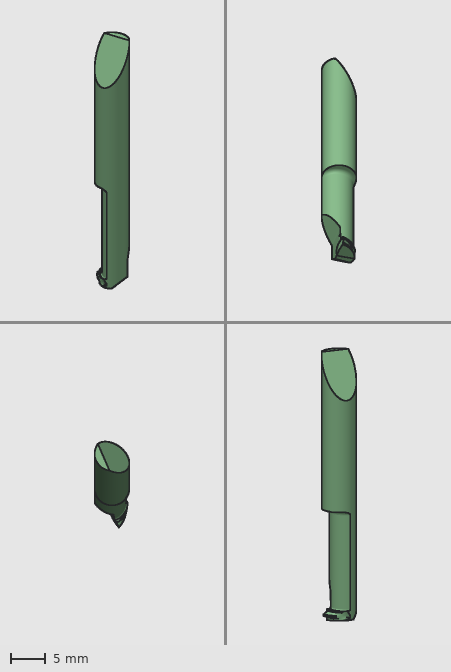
import cadquery as cq
import math

LENGTH = 39.5
RADIUS = 2.51
SLANT_ANGLE = 60.0
TOP_FLAT_EDGE = 1.3

NECK_OFFSET = 1.22
SHOULDER_HEIGHT = 16.4
SHOULDER_FILLET = 0.6

RAKE_Y = 0.25
RAKE_TOP = 4.4
RAKE_BLEND = 1.2
GROOVE_TOP = 2.95
GROOVE_EDGE_X = -0.8
CHAMFER = 1.5
END_RISE = 0.28
INSERT_TOP = 1.65
COVE_RADIUS = 0.25
ARC_BULGE = 0.47

PROFILE = [
    (0.0, -1.95, 0.35),
    (0.47, -1.95, 0.35),
    (0.7, -RADIUS, 0.6),
    (0.95, -RADIUS, 0.6),
    (1.4, -1.78, 0.3),
    (1.55, -1.95, 0.25),
    (INSERT_TOP, -1.95, 0.25),
]

SLOPE = math.tan(math.radians(SLANT_ANGLE))
OVERSIZE = 2 * RADIUS
END_MARGIN = 0.4


def prism_along_x(points):
    """Extrude a (Y, Z) outline right across the bar."""
    return cq.Workplane("YZ").polyline(points).close().extrude(OVERSIZE, both=True)


def slanted_end_cutter():
    reach = TOP_FLAT_EDGE + OVERSIZE
    return prism_along_x([
        (TOP_FLAT_EDGE, LENGTH),
        (TOP_FLAT_EDGE - reach, LENGTH - reach * SLOPE),
        (TOP_FLAT_EDGE - reach, LENGTH),
    ])


def neck_cutter():
    """Everything beside the neck, with a coved shoulder and a coved foot."""
    shoulder_start = SHOULDER_HEIGHT - SHOULDER_FILLET
    cove_top = INSERT_TOP + COVE_RADIUS
    diagonal = math.sqrt(0.5)
    profile = (
        cq.Workplane("XZ")
        .moveTo(RADIUS, cove_top)
        .lineTo(RADIUS, shoulder_start)
        .threePointArc(
            (RADIUS + SHOULDER_FILLET * (1 - diagonal), shoulder_start + SHOULDER_FILLET * diagonal),
            (RADIUS + SHOULDER_FILLET, SHOULDER_HEIGHT),
        )
        .lineTo(OVERSIZE, SHOULDER_HEIGHT)
        .lineTo(OVERSIZE, INSERT_TOP)
        .lineTo(RADIUS + COVE_RADIUS, INSERT_TOP)
        .threePointArc(
            (RADIUS + COVE_RADIUS * (1 - diagonal), cove_top - COVE_RADIUS * diagonal),
            (RADIUS, cove_top),
        )
        .close()
    )
    return profile.revolve(360, (0, 0, 0), (0, 1, 0)).translate((NECK_OFFSET, 0, 0))


def insert_seat_cutter():
    """Clears the bar up to the stepped back wall that carries the insert."""
    back_wall = [(back_x, height) for height, _, back_x in PROFILE]
    return (
        cq.Workplane("XZ")
        .polyline([(-OVERSIZE, 0), *back_wall, (-OVERSIZE, INSERT_TOP)])
        .close()
        .extrude(OVERSIZE, both=True)
    )


def rake_cutter():
    """Half-bar removal: a flat, blended into a slanted run-out."""
    slant_top = (OVERSIZE, RAKE_TOP + (OVERSIZE - RAKE_Y) * SLOPE)
    outline = [(RAKE_Y, -END_MARGIN), (RAKE_Y, RAKE_TOP), slant_top, (OVERSIZE, -END_MARGIN)]
    corner = cq.selectors.NearestToPointSelector((0, RAKE_Y, RAKE_TOP))
    return prism_along_x(outline).edges(corner).fillet(RAKE_BLEND)


def chip_face_cutter():
    """Chip face falling from the flat to Y = 0 at the tooth tip."""
    return (
        cq.Workplane("XY")
        .polyline([(-RADIUS, 0), (GROOVE_EDGE_X, RAKE_Y), (-RADIUS, RAKE_Y)])
        .close()
        .extrude(GROOVE_TOP)
    )


def end_clearance_cutter():
    slope = END_RISE / (RADIUS + RAKE_Y)
    return prism_along_x([
        (RAKE_Y, 0),
        (-OVERSIZE, slope * (OVERSIZE + RAKE_Y)),
        (-OVERSIZE, -END_MARGIN),
        (RAKE_Y, -END_MARGIN),
    ])


def chamfer_cutter():
    return (
        cq.Workplane("XZ")
        .polyline([(RADIUS - CHAMFER, 0), (RADIUS, CHAMFER), (RADIUS, 0)])
        .close()
        .extrude(OVERSIZE, both=True)
    )


def insert_section(height, edge_x, back_x):
    """Closed section: rake edge, curved flank, straight back wall."""
    back_y = -math.sqrt(RADIUS**2 - back_x**2)
    run_x = back_x - edge_x
    run_y = back_y
    chord = math.hypot(run_x, run_y)
    middle = (
        edge_x + run_x / 2 + ARC_BULGE * run_y / chord,
        run_y / 2 - ARC_BULGE * run_x / chord,
    )
    wire = (
        cq.Workplane("XY")
        .moveTo(edge_x, RAKE_Y)
        .lineTo(edge_x, 0)
        .threePointArc(middle, (back_x, back_y))
        .lineTo(back_x, RAKE_Y)
        .close()
        .val()
    )
    return wire.translate(cq.Vector(0, 0, height))


def make_insert():
    sections = [insert_section(*row) for row in PROFILE]
    body = cq.Workplane(cq.Solid.makeLoft(sections, True))
    bar = cq.Workplane("XY").circle(RADIUS).extrude(LENGTH)
    return body.intersect(bar).cut(chip_face_cutter()).cut(end_clearance_cutter())


def make_shank(insert):
    return (
        cq.Workplane("XY").circle(RADIUS).extrude(LENGTH)
        .cut(slanted_end_cutter())
        .cut(neck_cutter())
        .cut(insert_seat_cutter())
        .cut(rake_cutter())
        .cut(chip_face_cutter())
        .cut(end_clearance_cutter())
        .cut(chamfer_cutter())
        .cut(insert)
    )


insert = make_insert()
shank = make_shank(insert)
result = cq.Compound.makeCompound([shank.val(), insert.val()])